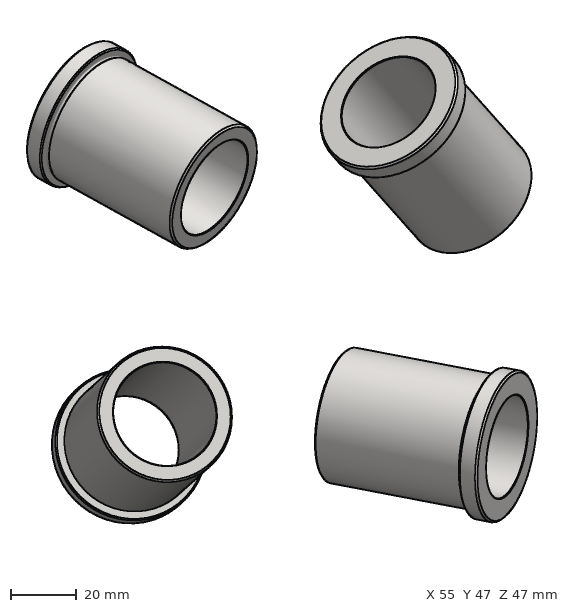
import cadquery as cq

length = 55.0
head_diameter = 47.0
body_diameter = 42.0
bore_diameter = 32.0
bore_chamfer = 0.2
head_thickness = 6.0
head_front_chamfer = 0.6
head_back_chamfer = 0.45
end_chamfer = 0.6
undercut_depth = 0.5
undercut_width = 1.1

head_radius = head_diameter / 2
body_radius = body_diameter / 2
bore_radius = bore_diameter / 2
undercut_middle = head_thickness + undercut_width / 2
undercut_end = head_thickness + undercut_width

half_section = (
    cq.Workplane("XY")
    .moveTo(bore_chamfer, bore_radius)
    .lineTo(0, bore_radius + bore_chamfer)
    .lineTo(0, head_radius - head_front_chamfer)
    .lineTo(head_front_chamfer, head_radius)
    .lineTo(head_thickness - head_back_chamfer, head_radius)
    .lineTo(head_thickness, head_radius - head_back_chamfer)
    .lineTo(head_thickness, body_radius)
    .threePointArc((undercut_middle, body_radius - undercut_depth), (undercut_end, body_radius))
    .lineTo(length - end_chamfer, body_radius)
    .lineTo(length, body_radius - end_chamfer)
    .lineTo(length, bore_radius + bore_chamfer)
    .lineTo(length - bore_chamfer, bore_radius)
    .close()
)

result = half_section.revolve(360, (0, 0, 0), (1, 0, 0))